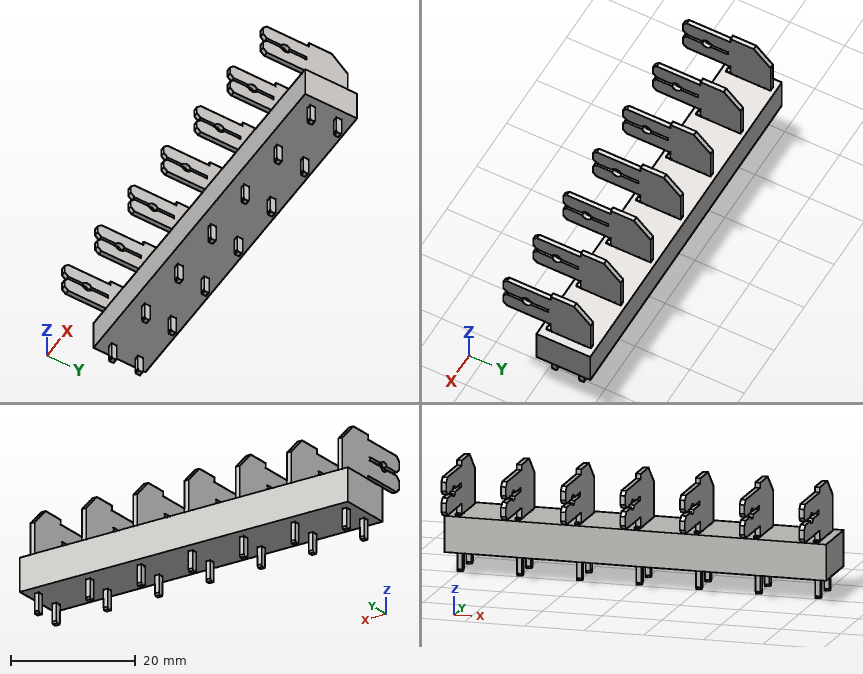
import cadquery as cq

HOUSING_LENGTH = 64.0
HOUSING_DEPTH = 9.85
HOUSING_HEIGHT = 6.0

CONTACT_COUNT = 7
END_MARGIN = 2.0
CONTACT_PITCH = (HOUSING_LENGTH - 2 * END_MARGIN) / (CONTACT_COUNT - 1)
CONTACT_THICKNESS = 0.8

PLATE_HEIGHT = 8.95
PLATE_INSET = 0.8
PLATE_DEPTH = 7.35
PLATE_CHAMFER = 3.1

FOOT_DEPTH = 0.8
FOOT_HEIGHT = 0.2

PRONG_REACH = 16.8
PRONG_DROP = 0.8
PRONG_HEIGHT = 2.9
PRONG_CHAMFER = 0.7
SLOT_HEIGHT = 0.6
SLOT_START = 0.45
EYE_DIAMETER = 1.65
EYE_FROM_TIP = 4.3

LEG_COUNT = 2
LEG_WIDTH = 1.0
LEG_PITCH = 5.0
LEG_INSET = 1.9
LEG_PROTRUSION = 3.5
LEG_TIP_HEIGHT = 0.4
LEG_TIP_SETBACK = 0.1

PLATE_BACK = -PLATE_INSET
PLATE_FRONT = PLATE_BACK - PLATE_DEPTH
PLATE_TOP = HOUSING_HEIGHT + PLATE_HEIGHT
PRONG_TIP = -PRONG_REACH
UPPER_PRONG_BOTTOM = PLATE_TOP - PRONG_DROP - PRONG_HEIGHT
LOWER_PRONG_BOTTOM = UPPER_PRONG_BOTTOM - SLOT_HEIGHT - PRONG_HEIGHT
SLOT_MIDDLE = UPPER_PRONG_BOTTOM - SLOT_HEIGHT / 2
LEG_CENTRES = [-LEG_INSET - LEG_WIDTH / 2 - index * LEG_PITCH for index in range(LEG_COUNT)]
CONTACT_CENTRES = [(index - (CONTACT_COUNT - 1) / 2) * CONTACT_PITCH for index in range(CONTACT_COUNT)]


def contact_slab(front, back, bottom, top):
    """Block as thick as a contact, between the given Y and Z limits."""
    return cq.Workplane("XY").box(
        CONTACT_THICKNESS, back - front, top - bottom
    ).translate((0, (front + back) / 2, (bottom + top) / 2))


def make_plate():
    plate = contact_slab(PLATE_FRONT, PLATE_BACK, HOUSING_HEIGHT, PLATE_TOP)
    plate = plate.edges(">Y and >Z").chamfer(PLATE_CHAMFER)
    foot = contact_slab(PLATE_FRONT - FOOT_DEPTH, PLATE_FRONT, HOUSING_HEIGHT, HOUSING_HEIGHT + FOOT_HEIGHT)
    return plate.union(foot)


def make_prong(bottom):
    prong = contact_slab(PRONG_TIP, PLATE_FRONT - SLOT_START, bottom, bottom + PRONG_HEIGHT)
    return prong.faces("<Y").edges("|X").chamfer(PRONG_CHAMFER)


def make_prong_root():
    """Short web that joins both prongs to the plate and closes the slot."""
    return contact_slab(
        PLATE_FRONT - SLOT_START, PLATE_FRONT, LOWER_PRONG_BOTTOM, UPPER_PRONG_BOTTOM + PRONG_HEIGHT
    )


def make_eye():
    """Round cutter that widens the slot between the prongs."""
    return (
        cq.Workplane("YZ")
        .center(PRONG_TIP + EYE_FROM_TIP, SLOT_MIDDLE)
        .circle(EYE_DIAMETER / 2)
        .extrude(CONTACT_THICKNESS / 2, both=True)
    )


def make_leg(centre):
    """Straight leg whose front and back taper slightly towards the tip."""
    half_width = LEG_WIDTH / 2
    half_tip = half_width - LEG_TIP_SETBACK
    taper_start = -LEG_PROTRUSION + LEG_TIP_HEIGHT
    outline = [
        (centre - half_width, HOUSING_HEIGHT),
        (centre - half_width, taper_start),
        (centre - half_tip, -LEG_PROTRUSION),
        (centre + half_tip, -LEG_PROTRUSION),
        (centre + half_width, taper_start),
        (centre + half_width, HOUSING_HEIGHT),
    ]
    return cq.Workplane("YZ").polyline(outline).close().extrude(CONTACT_THICKNESS / 2, both=True)


def make_contact(x):
    contact = make_plate().union(make_prong_root())
    for bottom in (LOWER_PRONG_BOTTOM, UPPER_PRONG_BOTTOM):
        contact = contact.union(make_prong(bottom))
    for centre in LEG_CENTRES:
        contact = contact.union(make_leg(centre))
    return contact.cut(make_eye()).translate((x, 0, 0))


def make_housing():
    housing = cq.Workplane("XY").box(
        HOUSING_LENGTH, HOUSING_DEPTH, HOUSING_HEIGHT
    ).translate((0, -HOUSING_DEPTH / 2, HOUSING_HEIGHT / 2))
    leg_points = [(x, y) for x in CONTACT_CENTRES for y in LEG_CENTRES]
    leg_holes = (
        cq.Workplane("XY")
        .pushPoints(leg_points)
        .rect(CONTACT_THICKNESS, LEG_WIDTH)
        .extrude(HOUSING_HEIGHT)
    )
    return housing.cut(leg_holes)


housing = make_housing()
contacts = [make_contact(x) for x in CONTACT_CENTRES]

result = cq.Compound.makeCompound([housing.val(), *[contact.val() for contact in contacts]])